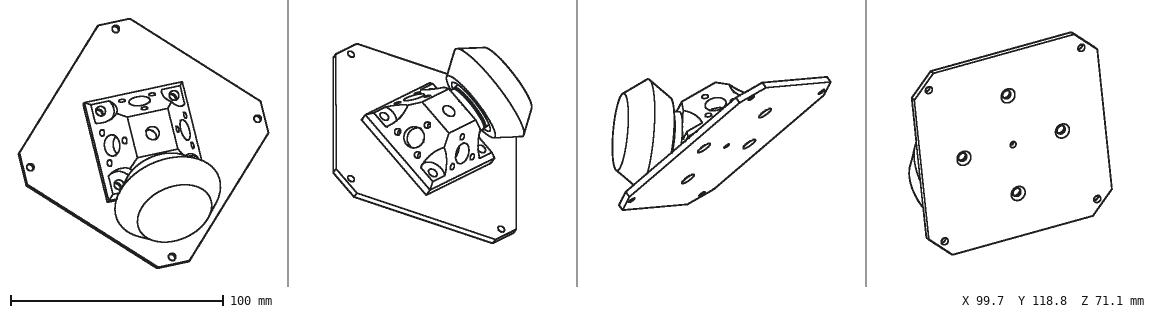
import cadquery as cq
import math

TILT = math.degrees(math.atan(1 / math.sqrt(2)))
SLOPE = 1 / math.sqrt(2)

plate_span = 118.8
plate_thickness = 3.1
corner_count = 4
corner_flat = 15.6
corner_hole_diameter = 3.5
corner_hole_offset = 56.0
centre_hole_diameter = 3.0
mount_screw_offset = 18.0
plate_screw_diameter = 4.2
countersink_diameter = 7.1
countersink_angle = 90

foot_height = 4.0
pyramid_height = 20.0
top_size = 20.0
foot_size = top_size + 2 * pyramid_height * SLOPE
mount_height = foot_height + pyramid_height
top_hole_diameter = 6.3
mount_screw_diameter = 4.5
recess_floor_height = 7.0
recess_diameter = 12.7

face_count = 4
face_distance = (foot_size / 2 + foot_height * SLOPE) / math.hypot(1, SLOPE)
wall_thickness = 6.0
shaft_hole_diameter = 10.0
pocket_diameter = 22.2
face_screw_count = 3
face_screw_diameter = 3.0
face_screw_radius = 8.5

drive_diameter = 23.8
drive_chamfer = 0.5
collar_length = 4.0
wheel_gap = 1.2
bore_diameter = 28.9
bore_depth = 14.3
wheel_diameter = 52.0
wheel_side_diameter = 36.6
wheel_width = 22.2


def tilted(body):
    """Turn a body built on a level plate to the slope of the real plate."""
    return body.rotate((0, 0, 0), (0, 1, 0), TILT)


def mount_screw_points():
    return [(sx * mount_screw_offset, sy * mount_screw_offset) for sx in (-1, 1) for sy in (-1, 1)]


def make_plate():
    reach = plate_span / 2
    flat = corner_flat / 2
    outline = [
        (reach, -flat), (reach, flat), (flat, reach), (-flat, reach),
        (-reach, flat), (-reach, -flat), (-flat, -reach), (flat, -reach),
    ]
    plate = cq.Workplane("XY").polyline(outline).close().extrude(-plate_thickness)
    plate = plate.cut(cq.Workplane("XY").circle(centre_hole_diameter / 2).extrude(-plate_thickness))
    corner_holes = (
        cq.Workplane("XY")
        .polarArray(corner_hole_offset, 0, 360, corner_count)
        .circle(corner_hole_diameter / 2)
        .extrude(-plate_thickness)
    )
    plate = plate.cut(corner_holes)
    plate = (
        plate.faces("<Z").workplane(origin=(0, 0, 0))
        .pushPoints(mount_screw_points())
        .cskHole(plate_screw_diameter, countersink_diameter, countersink_angle)
    )
    return tilted(plate)


def make_pyramid():
    return (
        cq.Workplane("XY").workplane(offset=foot_height)
        .rect(foot_size, foot_size)
        .workplane(offset=pyramid_height)
        .rect(top_size, top_size)
        .loft(ruled=True)
    )


def face_cutter():
    """Shaft opening, screw holes and motor pocket of the face on the +X side."""
    upright = cq.Workplane("YZ", origin=(face_distance, 0, 0))
    shaft_hole = upright.circle(shaft_hole_diameter / 2).extrude(-face_distance)
    screw_holes = (
        upright.polarArray(face_screw_radius, 90, 360, face_screw_count)
        .circle(face_screw_diameter / 2)
        .extrude(-face_distance)
    )
    pocket = cq.Workplane("YZ").circle(pocket_diameter / 2).extrude(face_distance - wall_thickness)
    cutter = shaft_hole.union(screw_holes).union(pocket)
    return cutter.rotate((0, 0, 0), (0, 1, 0), -TILT)


def make_mount():
    foot = cq.Workplane("XY").rect(foot_size, foot_size).extrude(foot_height)
    mount = foot.union(make_pyramid())

    mount = mount.cut(cq.Workplane("XY").circle(top_hole_diameter / 2).extrude(mount_height))
    screws = cq.Workplane("XY").pushPoints(mount_screw_points())
    mount = mount.cut(screws.circle(mount_screw_diameter / 2).extrude(mount_height))
    recesses = cq.Workplane("XY").workplane(offset=recess_floor_height).pushPoints(mount_screw_points())
    mount = mount.cut(recesses.circle(recess_diameter / 2).extrude(mount_height))

    for index in range(face_count):
        mount = mount.cut(face_cutter().rotate((0, 0, 0), (0, 0, 1), index * 360 / face_count))
    return tilted(mount)


collar_x = face_distance
motor_x = collar_x + collar_length
wheel_x = motor_x + wheel_gap


def drive_cylinder(start_x, length):
    return cq.Workplane("YZ", origin=(start_x, 0, 0)).circle(drive_diameter / 2).extrude(length)


def make_collar():
    return drive_cylinder(collar_x, collar_length).faces(">X").chamfer(drive_chamfer)


def make_motor():
    """A cylinder that reaches the floor of the wheel's bore."""
    return drive_cylinder(motor_x, wheel_gap + bore_depth).faces("<X").chamfer(drive_chamfer)


def make_wheel():
    """Two equal cones meeting at the widest circle, with a blind bore on the mount side."""
    profile = [
        (0, bore_diameter / 2),
        (0, wheel_side_diameter / 2),
        (wheel_width / 2, wheel_diameter / 2),
        (wheel_width, wheel_side_diameter / 2),
        (wheel_width, 0),
        (bore_depth, 0),
        (bore_depth, bore_diameter / 2),
    ]
    plane = cq.Workplane("XZ", origin=(wheel_x, 0, 0))
    return plane.polyline(profile).close().revolve(360, (0, 0, 0), (1, 0, 0))


plate = make_plate()
mount = make_mount()
collar = make_collar()
motor = make_motor()
wheel = make_wheel()

result = cq.Compound.makeCompound(
    [plate.val(), mount.val(), collar.val(), motor.val(), wheel.val()]
)